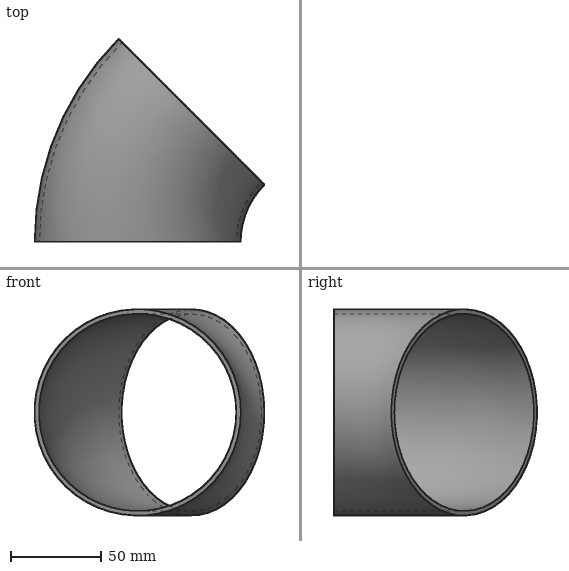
import cadquery as cq

outer_diameter = 114.3
wall = 2.5
bend_radius = 102.0
bend_angle = 45.0

bore_diameter = outer_diameter - 2 * wall

elbow = (
    cq.Workplane("XZ")
    .circle(outer_diameter / 2)
    .circle(bore_diameter / 2)
    .revolve(bend_angle, (bend_radius, 1.3, 0), (bend_radius, 0, 0))
)

result = elbow